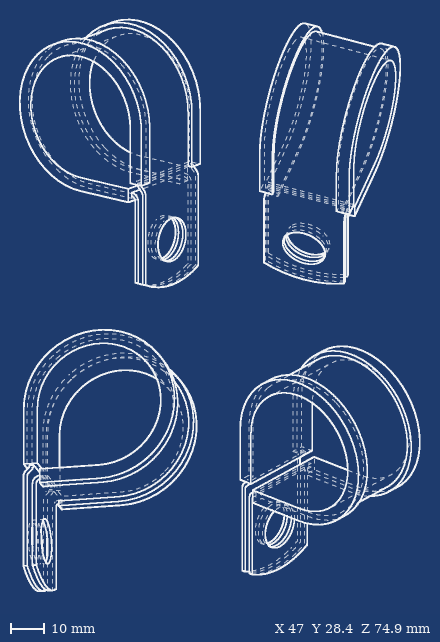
import cadquery as cq
import math

overall_height = 74.9
diagonal = math.sqrt(0.5)

cushion_width = 28.45
outer_radius = 23.3
cushion_thickness = 4.3
inner_radius = outer_radius - cushion_thickness
upright_end_z = -17.15
floor_end_x = 18.35
rim_width = 4.05
groove_depth = 1.5
groove_radius = outer_radius - groove_depth

strap_thickness = 1.2
strap_width = 25.45
strap_inner_radius = groove_radius - strap_thickness
bend_inner_radius = 1.1
bend_outer_radius = bend_inner_radius + strap_thickness
inner_tab_face_x = 20.9
outer_tab_face_x = 23.7
joggle_angle = math.radians(45)
tab_bottom_z = outer_radius - overall_height
tab_end_sagitta = 3.0
hole_diameter = 13.5
hole_to_tab_bottom = 14.2
hole_center_z = tab_bottom_z + hole_to_tab_bottom


def extrude_centered(outline, width):
    """Extrude an XZ outline symmetrically about Y = 0."""
    return outline.extrude(width / 2, both=True)


def loop_band(large_radius, small_radius, width):
    """Three-quarter ring with a straight leg downward and another toward +X."""
    outline = (
        cq.Workplane("XZ")
        .moveTo(large_radius, upright_end_z)
        .lineTo(large_radius, 0)
        .threePointArc((-large_radius * diagonal, large_radius * diagonal), (0, -large_radius))
        .lineTo(floor_end_x, -large_radius)
        .lineTo(floor_end_x, -small_radius)
        .lineTo(0, -small_radius)
        .threePointArc((-small_radius * diagonal, small_radius * diagonal), (small_radius, 0))
        .lineTo(small_radius, upright_end_z)
        .close()
    )
    return extrude_centered(outline, width)


def cushion():
    """Full-width loop with a shallow groove between two rims."""
    groove_width = cushion_width - 2 * rim_width
    groove = loop_band(outer_radius, groove_radius, groove_width)
    return loop_band(outer_radius, inner_radius, cushion_width).cut(groove)


def inner_tab():
    """Tab leaving the floor leg horizontally and bending straight down."""
    bend_x = inner_tab_face_x - bend_outer_radius
    bend_z = -strap_inner_radius - bend_outer_radius
    inner_face_x = inner_tab_face_x - strap_thickness
    outer_mid = (bend_x + bend_outer_radius * diagonal, bend_z + bend_outer_radius * diagonal)
    inner_mid = (bend_x + bend_inner_radius * diagonal, bend_z + bend_inner_radius * diagonal)
    outline = (
        cq.Workplane("XZ")
        .moveTo(floor_end_x, -strap_inner_radius)
        .lineTo(bend_x, -strap_inner_radius)
        .threePointArc(outer_mid, (inner_tab_face_x, bend_z))
        .lineTo(inner_tab_face_x, tab_bottom_z)
        .lineTo(inner_face_x, tab_bottom_z)
        .lineTo(inner_face_x, bend_z)
        .threePointArc(inner_mid, (bend_x, -groove_radius))
        .lineTo(floor_end_x, -groove_radius)
        .close()
    )
    return extrude_centered(outline, strap_width)


def outer_tab():
    """Tab leaving the upright leg and stepping outward through two equal bends."""
    offset = outer_tab_face_x - groove_radius
    bend_radii = bend_inner_radius + bend_outer_radius
    bend_offset = bend_radii * (1 - math.cos(joggle_angle))
    ramp_drop = (offset - bend_offset) / math.tan(joggle_angle)
    joggle_drop = bend_radii * math.sin(joggle_angle) + ramp_drop

    upper_center_x = groove_radius + bend_inner_radius
    lower_center_x = outer_tab_face_x - bend_outer_radius
    lower_center_z = upright_end_z - joggle_drop
    inner_face_x = outer_tab_face_x - strap_thickness

    def upper_point(radius, angle):
        return (upper_center_x - radius * math.cos(angle), upright_end_z - radius * math.sin(angle))

    def lower_point(radius, angle):
        return (lower_center_x + radius * math.cos(angle), lower_center_z + radius * math.sin(angle))

    mid_angle = joggle_angle / 2
    outline = (
        cq.Workplane("XZ")
        .moveTo(groove_radius, upright_end_z)
        .threePointArc(
            upper_point(bend_inner_radius, mid_angle), upper_point(bend_inner_radius, joggle_angle)
        )
        .lineTo(*lower_point(bend_outer_radius, joggle_angle))
        .threePointArc(lower_point(bend_outer_radius, mid_angle), (outer_tab_face_x, lower_center_z))
        .lineTo(outer_tab_face_x, tab_bottom_z)
        .lineTo(inner_face_x, tab_bottom_z)
        .lineTo(inner_face_x, lower_center_z)
        .threePointArc(
            lower_point(bend_inner_radius, mid_angle), lower_point(bend_inner_radius, joggle_angle)
        )
        .lineTo(*upper_point(bend_outer_radius, joggle_angle))
        .threePointArc(upper_point(bend_outer_radius, mid_angle), (strap_inner_radius, upright_end_z))
        .close()
    )
    return extrude_centered(outline, strap_width)


def tab_envelope():
    """Block along X with the tabs' bowed lower end and shared bolt hole."""
    half_width = strap_width / 2
    corner_z = tab_bottom_z + tab_end_sagitta
    envelope = (
        cq.Workplane("YZ")
        .moveTo(-half_width, 0)
        .lineTo(-half_width, corner_z)
        .threePointArc((0, tab_bottom_z), (half_width, corner_z))
        .lineTo(half_width, 0)
        .close()
        .extrude(outer_tab_face_x)
    )
    hole = (
        cq.Workplane("YZ")
        .center(0, hole_center_z)
        .circle(hole_diameter / 2)
        .extrude(outer_tab_face_x)
    )
    return envelope.cut(hole)


result = cushion()
for tab in (inner_tab(), outer_tab()):
    result = result.union(tab.intersect(tab_envelope()))